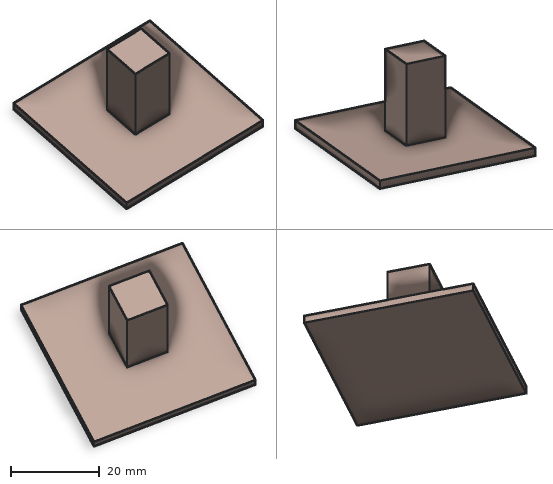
import cadquery as cq

plate_side = 40.0
plate_thickness = 2.0
post_side = 10.0
post_height = 20.0

plate = cq.Workplane("XY").box(plate_side, plate_side, plate_thickness, centered=(True, True, False))

post = (
    cq.Workplane("XY")
    .workplane(offset=plate_thickness)
    .box(post_side, post_side, post_height, centered=(True, True, False))
)

result = plate.union(post)